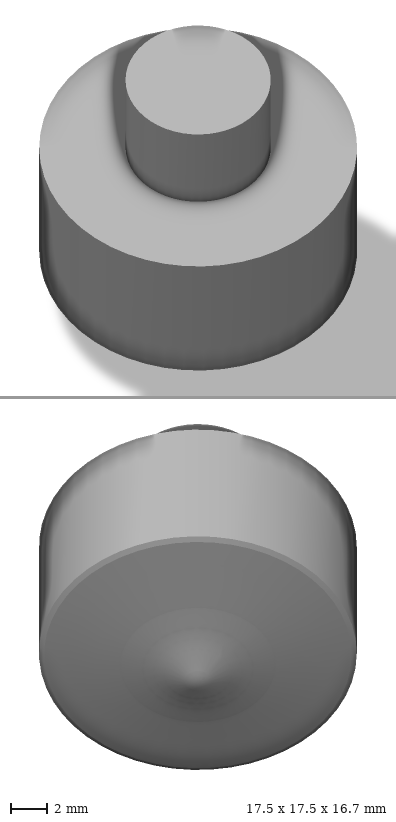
import cadquery as cq
import math

body_radius = 8.75
stud_radius = 8.0 / 2
stud_height = 5.6
total_height = 16.7
shoulder_z = total_height - stud_height

tip_round = 1.5
tip_angle = math.radians(29)
cone_angle = math.radians(10.8)
flare_round = 11.9
chamfer_width = 0.28
chamfer_height = 0.15


def below(center, radius, angle):
    """Point on a circle below its center, where the tangent rises outward at the angle."""
    return (center[0] + radius * math.sin(angle), center[1] - radius * math.cos(angle))


def above(center, radius, angle):
    """Point on a circle above its center, where the tangent rises outward at the angle."""
    return (center[0] - radius * math.sin(angle), center[1] + radius * math.cos(angle))


tip_center = (0, tip_round)
tip_middle = below(tip_center, tip_round, tip_angle / 2)
tip_end = below(tip_center, tip_round, tip_angle)

flare_center = below(tip_end, flare_round, tip_angle)
flare_middle = above(flare_center, flare_round, (tip_angle + cone_angle) / 2)
flare_end = above(flare_center, flare_round, cone_angle)

cone_end_radius = body_radius - chamfer_width
cone_end_z = flare_end[1] + (cone_end_radius - flare_end[0]) * math.tan(cone_angle)

profile = (
    cq.Workplane("XZ")
    .moveTo(0, 0)
    .threePointArc(tip_middle, tip_end)
    .threePointArc(flare_middle, flare_end)
    .lineTo(cone_end_radius, cone_end_z)
    .lineTo(body_radius, cone_end_z + chamfer_height)
    .lineTo(body_radius, shoulder_z)
    .lineTo(stud_radius, shoulder_z)
    .lineTo(stud_radius, total_height)
    .lineTo(0, total_height)
    .close()
)
result = profile.revolve(360, (0, 0, 0), (0, 1, 0))